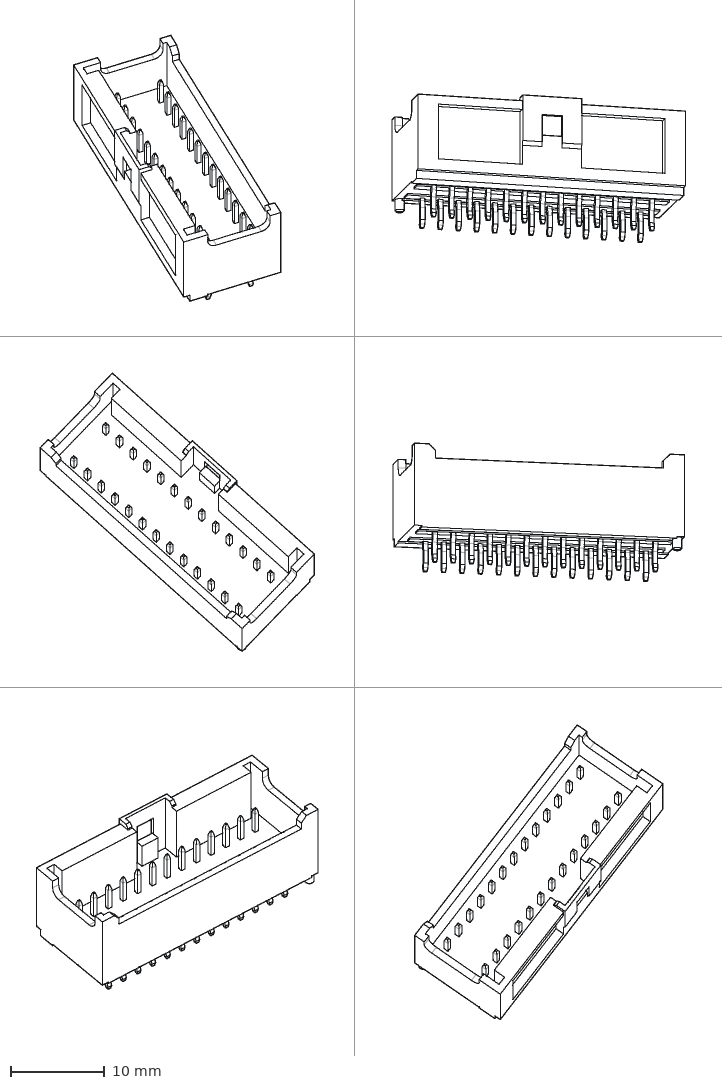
import cadquery as cq


LENGTH = 29.4
DEPTH = 11.3
TOP_Z = 9.1
STANDOFF = 0.18
STEP_DEPTH = 0.7
STEP_Z = 0.88

WALL = 0.82
FLOOR_Z = 2.65
FRONT_WALL = 2.12
CORNER_NOTCH_WIDTH = 1.0
CORNER_NOTCH_Y = 0.75

END_NOTCH_BACK = 1.25
END_NOTCH_FRONT = 2.8
END_NOTCH_Z = 7.17
END_NOTCH_RADIUS = 1.0
EAR_TOP_LENGTH = 1.6
EAR_CHAMFER = 0.7
BACK_WALL_Z = 7.59

LATCH_WIDTH = 6.5
PANEL_END_MARGIN = 2.25
PANEL_BOTTOM_Z = 2.12
PANEL_TOP_Z = 8.15
PANEL_DEPTH = 1.0

LATCH_PROUD = 0.2
LATCH_TOP_Z = 9.7
LATCH_BACK_Y = 1.32
LATCH_CHAMFER = 0.38
LATCH_BOTTOM_Z = 4.2
LATCH_BEVEL_HEIGHT = 0.47
SLOT_WIDTH = 5.4
SLOT_Y = 0.2
WINDOW_WIDTH = 2.2
WINDOW_BOTTOM_Z = 5.47
WINDOW_TOP_Z = 7.67
TONGUE_BACK_Y = 1.0

COLUMNS = 13
PITCH = 2.0
PIN_SIZE = 0.5
BACK_ROW_Y = 8.95
FRONT_ROW_Y = 3.95
PIN_TOP_Z = 5.7
PIN_TAPER = 0.5
PIN_TIP_SIZE = 0.2
LEG_BEND_OFFSET = 0.18
LEG_BEND_START_Z = -0.25
LEG_OUT_Z = -1.05
LEG_RETURN_Z = -2.38
LEG_TAPER_Z = -2.85
LEG_END_Z = -3.23
LEG_END_SIZE = 0.35

POST_DIAMETER = 1.0
POST_END_MARGIN = 0.68
POST_BACK_MARGIN = 0.65
POST_END_Z = -1.18
POST_CHAMFER = 0.18

RAIL_INSET = WALL
RAILS = [(3.73, 5.12), (7.8, 9.25), (DEPTH - END_NOTCH_BACK, DEPTH)]

HALF_LENGTH = LENGTH / 2


def block(x_range, y_range, z_range):
    """Box spanning the given (low, high) pairs."""
    spans = (x_range, y_range, z_range)
    sizes = [high - low for low, high in spans]
    corner = tuple(low for low, high in spans)
    return cq.Workplane("XY").box(*sizes, centered=False).translate(corner)


def centred(width):
    """X range of the given width about mid-length."""
    return (-width / 2, width / 2)


def along_x(points, width):
    """Prism of a (Y, Z) outline, centred on mid-length."""
    return cq.Workplane("YZ").polyline(points).close().extrude(width / 2, both=True)


def housing_shell():
    outline = [
        (DEPTH, STANDOFF),
        (DEPTH, TOP_Z),
        (0, TOP_Z),
        (0, STEP_Z),
        (STEP_DEPTH, STEP_Z),
        (STEP_DEPTH, 0),
        (END_NOTCH_FRONT, 0),
        (END_NOTCH_FRONT, STANDOFF),
    ]
    return along_x(outline, LENGTH)


def cavity():
    z_range = (FLOOR_Z, TOP_Z)
    inner_half = HALF_LENGTH - WALL
    pocket = block((-inner_half, inner_half), (FRONT_WALL, DEPTH - WALL), z_range)
    notch = block((inner_half - CORNER_NOTCH_WIDTH, inner_half), (CORNER_NOTCH_Y, FRONT_WALL), z_range)
    return pocket.union(notch).union(notch.mirror("YZ"))


def end_wall_notch():
    notch = block(
        centred(LENGTH),
        (END_NOTCH_FRONT, DEPTH - END_NOTCH_BACK),
        (END_NOTCH_Z, TOP_Z),
    )
    return notch.edges("|X and <Z").fillet(END_NOTCH_RADIUS)


def back_wall_notch():
    top_half = HALF_LENGTH - EAR_TOP_LENGTH
    low_half = top_half - EAR_CHAMFER
    outline = [
        (-low_half, BACK_WALL_Z),
        (low_half, BACK_WALL_Z),
        (low_half, TOP_Z - EAR_CHAMFER),
        (top_half, TOP_Z),
        (-top_half, TOP_Z),
        (-low_half, TOP_Z - EAR_CHAMFER),
    ]
    prism = cq.Workplane("XZ").polyline(outline).close().extrude(-WALL)
    return prism.translate((0, DEPTH - WALL, 0))


def front_panels():
    panel = block(
        (LATCH_WIDTH / 2, HALF_LENGTH - PANEL_END_MARGIN),
        (0, PANEL_DEPTH),
        (PANEL_BOTTOM_Z, PANEL_TOP_Z),
    )
    return panel.union(panel.mirror("YZ"))


def latch_bridge():
    outline = [
        (0, LATCH_BOTTOM_Z),
        (-LATCH_PROUD, LATCH_BOTTOM_Z + LATCH_BEVEL_HEIGHT),
        (-LATCH_PROUD, LATCH_TOP_Z),
        (LATCH_BACK_Y - LATCH_CHAMFER, LATCH_TOP_Z),
        (LATCH_BACK_Y, LATCH_TOP_Z - LATCH_CHAMFER),
        (LATCH_BACK_Y, LATCH_BOTTOM_Z),
    ]
    return along_x(outline, LATCH_WIDTH)


def pin(row_y, bend):
    """Pin at mid-length; its leg bows along Y by the signed bend."""
    half = PIN_SIZE / 2
    half_end = LEG_END_SIZE / 2
    bowed = row_y + bend
    front_side = [
        (row_y - half, LEG_BEND_START_Z),
        (bowed - half, LEG_OUT_Z),
        (bowed - half, LEG_RETURN_Z),
        (row_y - half, LEG_TAPER_Z),
        (row_y - half_end, LEG_END_Z),
    ]
    back_side = [
        (row_y + half_end, LEG_END_Z),
        (row_y + half, LEG_TAPER_Z),
        (bowed + half, LEG_RETURN_Z),
        (bowed + half, LEG_OUT_Z),
        (row_y + half, LEG_BEND_START_Z),
    ]
    shoulder_z = PIN_TOP_Z - PIN_TAPER
    top = [(row_y + half, shoulder_z), (row_y - half, shoulder_z)]
    shank = along_x(front_side + back_side + top, PIN_SIZE)
    end_sides = shank.faces("<Z").edges("|Y")
    end_taper = (PIN_SIZE - LEG_END_SIZE) / 2
    shank = end_sides.chamfer(LEG_TAPER_Z - LEG_END_Z, end_taper)
    tip = (
        cq.Workplane("XY", origin=(0, row_y, shoulder_z))
        .rect(PIN_SIZE, PIN_SIZE)
        .workplane(offset=PIN_TAPER)
        .rect(PIN_TIP_SIZE, PIN_TIP_SIZE)
        .loft()
    )
    return shank.union(tip)


def locating_post():
    centre = (-HALF_LENGTH + POST_END_MARGIN, DEPTH - POST_BACK_MARGIN, STANDOFF)
    post = cq.Workplane("XY", origin=centre).circle(POST_DIAMETER / 2).extrude(POST_END_Z - STANDOFF)
    return post.faces("<Z").chamfer(POST_CHAMFER)


housing = housing_shell().cut(cavity()).cut(end_wall_notch()).cut(back_wall_notch())
housing = housing.cut(front_panels())

slot = block(centred(SLOT_WIDTH), (SLOT_Y, FRONT_WALL), (FLOOR_Z, LATCH_TOP_Z))
tongue = block(centred(WINDOW_WIDTH), (0, TONGUE_BACK_Y), (FLOOR_Z, WINDOW_BOTTOM_Z))
leg_gap = block(centred(WINDOW_WIDTH), (-LATCH_PROUD, 0), (LATCH_BOTTOM_Z, WINDOW_TOP_Z))
window = block(centred(WINDOW_WIDTH), (0, LATCH_BACK_Y), (WINDOW_BOTTOM_Z, WINDOW_TOP_Z))
housing = housing.union(latch_bridge()).cut(slot).union(tongue).cut(leg_gap).cut(window)

for front_y, back_y in RAILS:
    housing = housing.union(block(centred(LENGTH - 2 * RAIL_INSET), (front_y, back_y), (0, STANDOFF)))
housing = housing.union(locating_post())

for row_y, bend in ((BACK_ROW_Y, -LEG_BEND_OFFSET), (FRONT_ROW_Y, LEG_BEND_OFFSET)):
    row_pin = pin(row_y, bend)
    for column in range(COLUMNS):
        pin_x = (column - (COLUMNS - 1) / 2) * PITCH
        housing = housing.union(row_pin.translate((pin_x, 0, 0)))

result = housing